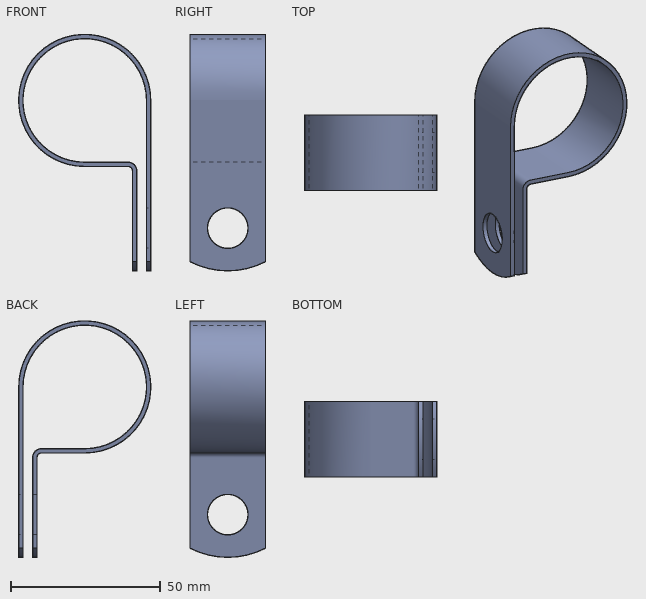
import cadquery as cq
import math

total_height = 79.3
strip_width = 25.4
strip_thickness = 1.5
loop_diameter = 44.3
leg_gap = 3.2
bend_inner_radius = 1.5
hole_diameter = 13.5
hole_height = 14.35
tip_rise = 3.1

outer_radius = loop_diameter / 2
inner_radius = outer_radius - strip_thickness
loop_z = total_height - outer_radius
shelf_bottom = loop_z - outer_radius
shelf_top = shelf_bottom + strip_thickness
short_leg_outer = inner_radius - leg_gap
short_leg_inner = short_leg_outer - strip_thickness
bend_outer_radius = bend_inner_radius + strip_thickness
bend_x = short_leg_outer - bend_outer_radius
bend_z = shelf_top - bend_outer_radius


def bent_strip():
    """P-shaped strip: long leg, loop, shelf and short leg, extruded across its width."""
    cos_45 = math.cos(math.radians(45))
    return (
        cq.Workplane("XZ", origin=(0, strip_width / 2, 0))
        .moveTo(outer_radius, 0)
        .lineTo(outer_radius, loop_z)
        .threePointArc((-outer_radius * cos_45, loop_z + outer_radius * cos_45), (0, shelf_bottom))
        .lineTo(bend_x, shelf_bottom)
        .radiusArc((short_leg_inner, bend_z), bend_inner_radius)
        .lineTo(short_leg_inner, 0)
        .lineTo(short_leg_outer, 0)
        .lineTo(short_leg_outer, bend_z)
        .radiusArc((bend_x, shelf_top), -bend_outer_radius)
        .lineTo(0, shelf_top)
        .threePointArc((-inner_radius * cos_45, loop_z + inner_radius * cos_45), (inner_radius, loop_z))
        .lineTo(inner_radius, 0)
        .close()
        .extrude(strip_width)
    )


def rounded_tip_envelope():
    """Block around the whole part whose underside is the arc of the leg ends."""
    half_width = strip_width / 2
    return (
        cq.Workplane("YZ", origin=(-outer_radius, 0, 0))
        .moveTo(-half_width, tip_rise)
        .threePointArc((0, 0), (half_width, tip_rise))
        .lineTo(half_width, total_height)
        .lineTo(-half_width, total_height)
        .close()
        .extrude(loop_diameter)
    )


def bolt_hole():
    """Cylinder through both legs along X."""
    return (
        cq.Workplane("YZ")
        .center(0, hole_height)
        .circle(hole_diameter / 2)
        .extrude(outer_radius)
    )


result = bent_strip().intersect(rounded_tip_envelope()).cut(bolt_hole())